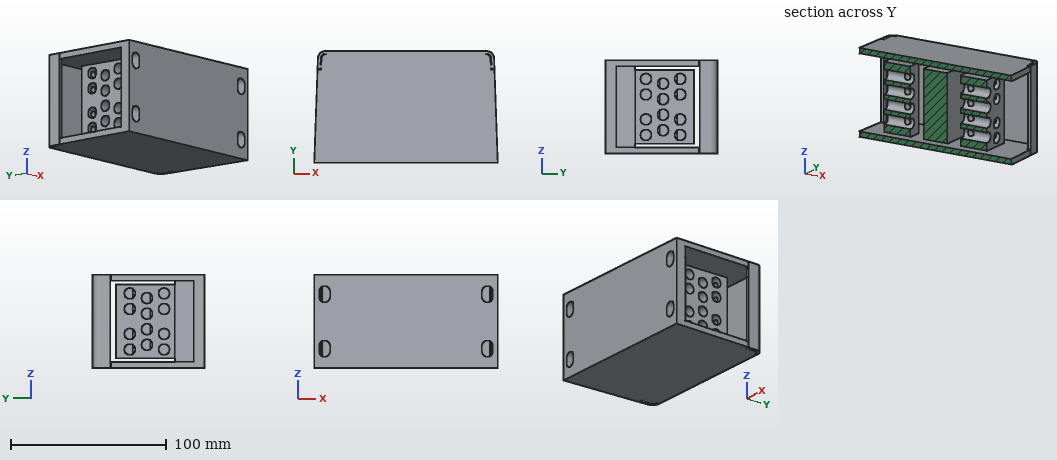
import cadquery as cq
import math

FRONT_WIDTH = 118.0
BACK_WIDTH = 113.0
DEPTH = 72.0
HEIGHT = 60.0

FRONT_WALL = 7.0
PLATE_THICKNESS = 4.0
FRAME_DEPTH = 60.0
OPENING_HEIGHT = HEIGHT - 2 * PLATE_THICKNESS

COVER_WALL = 2.0
COVER_GAP = 0.5
COVER_FRONT = FRAME_DEPTH + COVER_GAP
CORNER_RADIUS = 5.0
INNER_CORNER_RADIUS = CORNER_RADIUS - COVER_WALL
SIDE_CLEARANCE = 0.3
BEAD_RADIUS = 1.5
BEAD_INSET = 3.7

MOUNT_SLOT_WIDTH = 7.0
MOUNT_SLOT_LENGTH = 10.4
MOUNT_SLOT_SPACING_X = 104.5
MOUNT_SLOT_SPACING_Z = 35.0

PEDESTAL_WIDTH = 88.0
PEDESTAL_BACK = 19.0
BLOCK_WIDTH = 78.0
BLOCK_HEIGHT = 47.5
BLOCK_BACK = 57.0
STEP_WIDTH = 10.0
STEP_DROP = 11.0
STEP_COUNT = 3

WIRE_DIAMETER = 7.0
WIRE_BELOW_TREAD = 9.0
WIDE_ROW_OFFSETS = (-18.0, -8.0, 8.0, 18.0)
NARROW_ROW_OFFSETS = (-15.0, -5.0, 5.0, 15.0)
SCREW_DIAMETER = 4.4

TAPER_SLOPE = (FRONT_WIDTH - BACK_WIDTH) / 2 / DEPTH
TAPER_ANGLE = math.atan(TAPER_SLOPE)
MID_HEIGHT = HEIGHT / 2


def tapered_prism(y_front, y_back, side_inset, z_bottom, height):
    """Prism between two depths whose sides run parallel to the tapered outer sides."""
    inset_x = side_inset / math.cos(TAPER_ANGLE)
    half_front = FRONT_WIDTH / 2 - TAPER_SLOPE * y_front - inset_x
    half_back = FRONT_WIDTH / 2 - TAPER_SLOPE * y_back - inset_x
    outline = [
        (-half_front, y_front),
        (half_front, y_front),
        (half_back, y_back),
        (-half_back, y_back),
    ]
    return cq.Workplane("XY").workplane(offset=z_bottom).polyline(outline).close().extrude(height)


def box_between(x_left, x_right, y_front, y_back, height):
    """Box centred on the middle height of the part."""
    return (
        cq.Workplane("XY")
        .box(x_right - x_left, y_back - y_front, height, centered=(False, False, True))
        .translate((x_left, y_front, MID_HEIGHT))
    )


def make_cover():
    shell = tapered_prism(COVER_FRONT, DEPTH, 0, 0, HEIGHT)
    shell = shell.edges("|Z and >Y").fillet(CORNER_RADIUS)
    hollow = tapered_prism(COVER_FRONT, DEPTH - COVER_WALL, COVER_WALL, 0, HEIGHT)
    hollow = hollow.edges("|Z and >Y").fillet(INNER_CORNER_RADIUS)
    bead_x = FRONT_WIDTH / 2 - BEAD_INSET
    bead_y = COVER_FRONT + BEAD_RADIUS
    beads = (
        cq.Workplane("XY")
        .pushPoints([(-bead_x, bead_y), (bead_x, bead_y)])
        .circle(BEAD_RADIUS)
        .extrude(HEIGHT)
    )
    return shell.cut(hollow).union(beads)


def make_frame_plate(z_bottom):
    """Floor or roof plate with a narrower tongue that fits inside the cover."""
    plate = tapered_prism(0, FRAME_DEPTH, 0, z_bottom, PLATE_THICKNESS)
    tongue_inset = COVER_WALL + SIDE_CLEARANCE
    tongue = tapered_prism(
        FRAME_DEPTH, DEPTH - COVER_WALL, tongue_inset, z_bottom, PLATE_THICKNESS
    )
    tongue = tongue.edges("|Z and >Y").fillet(INNER_CORNER_RADIUS)
    return plate.union(tongue)


def make_front_wall():
    wall = tapered_prism(0, FRONT_WALL, 0, 0, HEIGHT)
    slots = (
        cq.Workplane("XZ", origin=(0, 0, MID_HEIGHT))
        .rarray(MOUNT_SLOT_SPACING_X, MOUNT_SLOT_SPACING_Z, 2, 2)
        .slot2D(MOUNT_SLOT_LENGTH, MOUNT_SLOT_WIDTH, 90)
        .extrude(-FRONT_WALL)
    )
    return wall.cut(slots)


def cut_step(block, step):
    """Cut one left-hand step: its wire bores, their screw holes and the space behind its riser."""
    riser_left = -BLOCK_WIDTH / 2 + step * STEP_WIDTH
    riser_right = riser_left + STEP_WIDTH
    tread_y = BLOCK_BACK - step * STEP_DROP
    wire_y = tread_y - WIRE_BELOW_TREAD
    row_offsets = NARROW_ROW_OFFSETS if step % 2 else WIDE_ROW_OFFSETS
    wires = (
        cq.Workplane("YZ", origin=(-BLOCK_WIDTH / 2, wire_y, MID_HEIGHT))
        .pushPoints([(0, offset) for offset in row_offsets])
        .circle(WIRE_DIAMETER / 2)
        .extrude(riser_right + BLOCK_WIDTH / 2)
    )
    screws = (
        cq.Workplane("XZ", origin=((riser_left + riser_right) / 2, tread_y, MID_HEIGHT))
        .pushPoints([(0, offset) for offset in row_offsets])
        .circle(SCREW_DIAMETER / 2)
        .extrude(WIRE_BELOW_TREAD)
    )
    return block.cut(wires).cut(screws)


def make_terminal_block():
    block_left = -BLOCK_WIDTH / 2
    divider_left = block_left + STEP_COUNT * STEP_WIDTH
    half = box_between(block_left, 0, PEDESTAL_BACK, BLOCK_BACK, BLOCK_HEIGHT)
    for step in range(1, STEP_COUNT):
        tread_y = BLOCK_BACK - step * STEP_DROP
        riser_x = block_left + step * STEP_WIDTH
        half = half.cut(box_between(riser_x, divider_left, tread_y, BLOCK_BACK, BLOCK_HEIGHT))
    for step in range(STEP_COUNT):
        half = cut_step(half, step)
    pedestal = box_between(
        -PEDESTAL_WIDTH / 2, PEDESTAL_WIDTH / 2, FRONT_WALL, PEDESTAL_BACK, OPENING_HEIGHT
    )
    return pedestal.union(half).union(half.mirror("YZ"))


result = (
    make_front_wall()
    .union(make_frame_plate(0))
    .union(make_frame_plate(HEIGHT - PLATE_THICKNESS))
    .union(make_cover())
    .union(make_terminal_block())
)